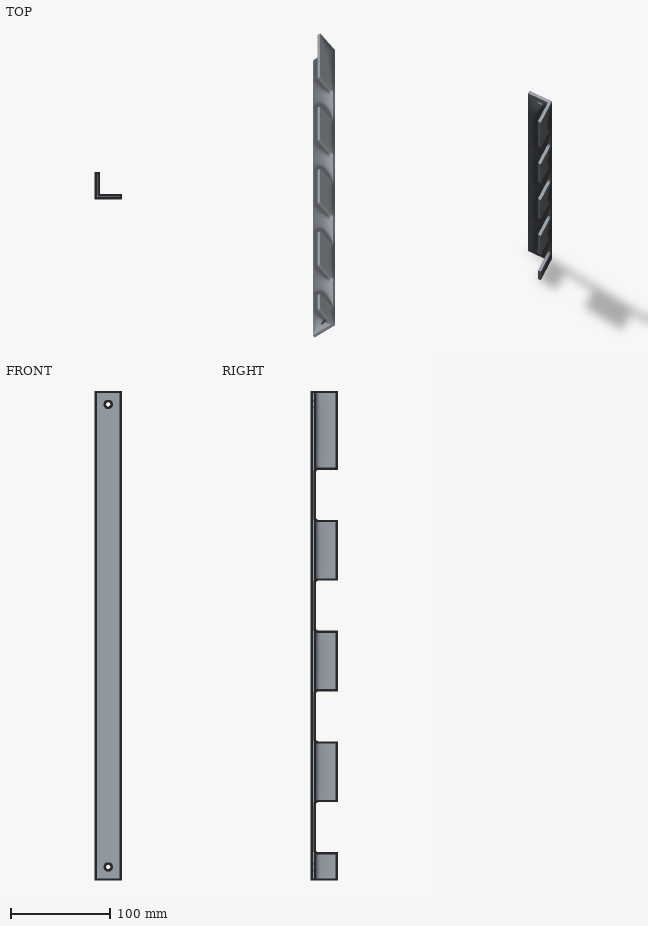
import cadquery as cq

leg_width = 25.4
bar_length = 492.125
wall = 3.175

notch_count = 4
notch_pitch = 111.76
notch_height = 52.3875
first_notch_bottom = 26.67
notch_floor = wall
notch_corner_radius = 3.175

hole_diameter = 6.76
hole_end_distance = 12.7


def angle_bar():
    """L-shaped bar: front leg along X, side leg along Y, corner at the origin."""
    profile = [
        (0, 0),
        (leg_width, 0),
        (leg_width, wall),
        (wall, wall),
        (wall, leg_width),
        (0, leg_width),
    ]
    return cq.Workplane("XY").polyline(profile).close().extrude(bar_length)


def notch(bottom):
    """Cutter for one notch, open at the free edge, with rounded inner corners."""
    depth = leg_width - notch_floor
    return (
        cq.Workplane("XY")
        .box(wall, depth, notch_height, centered=False)
        .edges("|X and <Y")
        .fillet(notch_corner_radius)
        .translate((0, notch_floor, bottom))
    )


def mounting_hole(height):
    """Cutter for one round hole through the front leg, on its centerline."""
    return (
        cq.Workplane("XZ", origin=(leg_width / 2, 0, height))
        .circle(hole_diameter / 2)
        .extrude(-wall)
    )


result = angle_bar()

for index in range(notch_count):
    result = result.cut(notch(first_notch_bottom + index * notch_pitch))

for height in (hole_end_distance, bar_length - hole_end_distance):
    result = result.cut(mounting_hole(height))